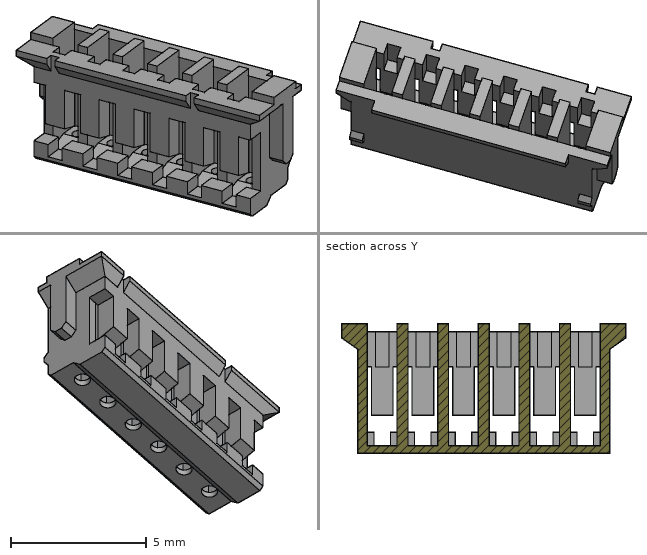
import cadquery as cq


contact_count = 6
pitch = 1.5
contact_span = (contact_count - 1) * pitch
contact_positions = [i * pitch - contact_span / 2 for i in range(contact_count)]

length = 10.5
depth = 3.4
height = 4.8

body_length = 9.33
body_front = 0.3
body_rear = 3.0
rear_bottom = 0.28
base_chamfer = 0.15
step_front = 1.49
step_rear = 1.81

flange_top = 4.5
flange_edge_bottom = 4.26
flange_root = 3.85
key_notch_width = 0.35
key_notch_contacts = (0, 4)

block_front = 1.05
block_rear = 2.6

rib_thickness = 0.41
cavity_width = pitch - rib_thickness
cavity_floor = 0.54
ramp_foot = 0.28
ramp_rear = step_rear
hole_diameter = 0.6
hole_y = ramp_rear + hole_diameter / 2
relief_width = 0.51
relief_front = 0.6

tongue_width = 0.81
opening_top = 3.2
opening_bottom = 0.79
tongue_tip_front = 1.62
tongue_tip_rear = 1.41
bar_notch_width = 0.6

guide_front = 1.69
guide_rear = 2.42
guide_bottom = 1.69
guide_chamfer = 0.21

bump_width = 0.49
bump_rear = 3.2
bump_bottom = 0.91
bump_face_bottom = 1.2
bump_face_top = 1.39
bump_top = 1.58


def box(x_min, x_max, y_min, y_max, z_min, z_max):
    """Box between the given limits."""
    size = (x_max - x_min, y_max - y_min, z_max - z_min)
    return cq.Workplane("XY").box(*size, centered=False).translate((x_min, y_min, z_min))


def slot(x_center, width, y_min, y_max, z_min, z_max):
    """Box centred on x_center along X."""
    return box(x_center - width / 2, x_center + width / 2, y_min, y_max, z_min, z_max)


def side_profile(points, x_center, width):
    """Closed outline of (y, z) points extruded along X, centred on x_center."""
    start = x_center - width / 2
    return cq.Workplane("YZ").workplane(offset=start).polyline(points).close().extrude(width)


def make_body():
    outline = [
        (body_front, base_chamfer),
        (body_front + base_chamfer, 0),
        (step_front, 0),
        (step_rear, rear_bottom),
        (body_rear - base_chamfer, rear_bottom),
        (body_rear, rear_bottom + base_chamfer),
        (body_rear, flange_top),
        (body_front, flange_top),
    ]
    return side_profile(outline, 0, body_length)


def make_flange():
    """Flange whose underside slopes out to the front and to both ends, plus a rear lip."""
    rim = box(-length / 2, length / 2, 0, body_rear, flange_edge_bottom, flange_top)
    front_slope = side_profile(
        [
            (0, flange_edge_bottom),
            (body_front, flange_root),
            (body_rear, flange_root),
            (body_rear, flange_edge_bottom),
        ],
        0,
        length,
    )
    end_slopes = (
        cq.Workplane("XZ")
        .polyline([
            (-length / 2, flange_edge_bottom),
            (-body_length / 2, flange_root),
            (body_length / 2, flange_root),
            (length / 2, flange_edge_bottom),
        ])
        .close()
        .extrude(-body_rear)
    )
    rear_lip = side_profile(
        [
            (body_rear, flange_root),
            (depth, flange_edge_bottom),
            (depth, flange_top),
            (body_rear, flange_top),
        ],
        0,
        contact_span,
    )
    flange = rim.union(front_slope.intersect(end_slopes)).union(rear_lip)
    for index in key_notch_contacts:
        x = contact_positions[index]
        flange = flange.cut(slot(x, key_notch_width, 0, body_front, flange_root, flange_top))
    return flange


def make_guides():
    """Vertical guide ribs on both ends, made as one bar through the body."""
    outline = [
        (guide_front, flange_top),
        (guide_front, guide_bottom + guide_chamfer),
        (guide_front + guide_chamfer, guide_bottom),
        (guide_rear - guide_chamfer, guide_bottom),
        (guide_rear, guide_bottom + guide_chamfer),
        (guide_rear, flange_top),
    ]
    return side_profile(outline, 0, length)


def make_latch_bump(x_center):
    outline = [
        (body_rear, bump_bottom),
        (bump_rear, bump_face_bottom),
        (bump_rear, bump_face_top),
        (body_rear, bump_top),
    ]
    return side_profile(outline, x_center, bump_width)


def make_front_opening():
    """Space between and below the tongues of the front wall."""
    opening = box(
        -body_length / 2, body_length / 2, body_front, block_front, opening_bottom, opening_top
    )
    tongue_outline = [
        (body_front, opening_top),
        (body_front, tongue_tip_front),
        (block_front, tongue_tip_rear),
        (block_front, opening_top),
    ]
    for x in contact_positions:
        opening = opening.cut(side_profile(tongue_outline, x, tongue_width))
    return opening


def make_contact_space(x):
    """Cavity with a ramped floor, its pin hole, the relief in front and the bar notch."""
    cavity_outline = [
        (block_front, ramp_foot),
        (ramp_rear, cavity_floor),
        (block_rear, cavity_floor),
        (block_rear, height),
        (block_front, height),
    ]
    cavity = side_profile(cavity_outline, x, cavity_width)
    hole = cq.Workplane("XY").center(x, hole_y).circle(hole_diameter / 2).extrude(height)
    relief = slot(x, relief_width, relief_front, block_front, opening_top, flange_top)
    bar_notch = slot(x, bar_notch_width, body_front, block_front, ramp_foot, opening_bottom)
    return cavity.union(hole).union(relief).union(bar_notch)


block = box(-length / 2, length / 2, block_front, block_rear, flange_top, height)
bump_x = (body_length - bump_width) / 2

result = make_body().union(make_flange()).union(block).union(make_guides())
for bump_center in (-bump_x, bump_x):
    result = result.union(make_latch_bump(bump_center))
result = result.cut(make_front_opening())
for contact_x in contact_positions:
    result = result.cut(make_contact_space(contact_x))